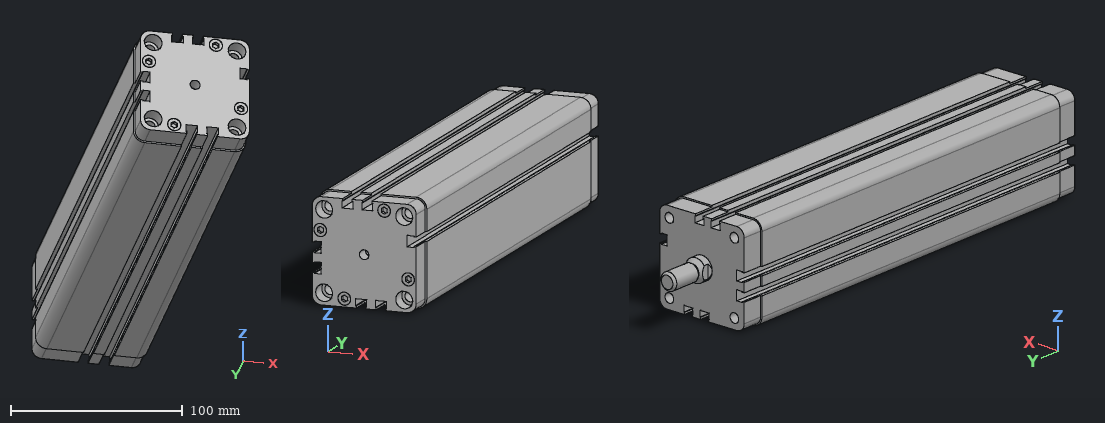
import cadquery as cq
import math

length = 327.0
rear_y = -length / 2
rod_tip_y = length / 2
rod_reach = 31.0
cap_length = 14.7
front_y = rod_tip_y - rod_reach

barrel_side = 67.0
cap_side = 65.0
corner_centre = 26.8

slot_places = (-10.5, 2.0)
slot_mouth = 6.0
slot_undercut = 7.0
slot_floor = 26.8
slot_lip = 31.0

mount_spacing = 50.0
mount_offset = mount_spacing / 2
mount_diameter = 6.5
counterbore_diameter = 10.5
counterbore_depth = 9.8
port_diameter = 6.0
port_depth = 9.8

screw_offset = 12.5
screw_reach = 27.5
screw_diameter = 8.0
screw_recess = 0.3
socket_corners = 4.3
socket_depth = 2.5

rod_diameter = 16.0
thread_diameter = 12.0
thread_length = 21.0
thread_chamfer = 1.5
neck_diameter = 10.0
neck_length = 1.5
flat_width = 13.0
flat_clearance = 2.3


def plane_at(y):
    """XZ sketch plane at y, with local x = X, local y = Z and normal -Y."""
    return cq.Workplane("XZ", origin=(0, y, 0))


def rounded_square(side, y_start, y_end):
    """Square bar with rounded long edges between two places along Y."""
    radius = side / 2 - corner_centre
    bar = plane_at(y_end).rect(side, side).extrude(y_end - y_start)
    return bar.edges("|Y").fillet(radius)


def t_slot(place):
    """Full-length T-slot cutter for the +Z side, centred at x = place."""
    top = barrel_side / 2
    mouth = plane_at(front_y).center(place, (slot_floor + top) / 2)
    mouth = mouth.rect(slot_mouth, top - slot_floor).extrude(front_y - rear_y)
    undercut = plane_at(front_y).center(place, (slot_floor + slot_lip) / 2)
    undercut = undercut.rect(slot_undercut, slot_lip - slot_floor).extrude(front_y - rear_y)
    return mouth.union(undercut)


def turned_about_axis(shape, quarter_turns):
    """Turn a shape about the Y axis, from +Z towards -X."""
    return shape.rotate((0, 0, 0), (0, 1, 0), -90 * quarter_turns)


def rear_hole(points, diameter, depth):
    """Cutters for round holes sunk from the rear face."""
    return plane_at(rear_y).pushPoints(points).circle(diameter / 2).extrude(-depth)


def piston_rod():
    """Threaded rod end with a neck, a 45 degree shoulder and two wrench flats."""
    thread_radius = thread_diameter / 2
    neck_radius = neck_diameter / 2
    rod_radius = rod_diameter / 2
    thread_end = rod_tip_y - thread_length
    neck_end = thread_end - neck_length
    shoulder_height = rod_radius - neck_radius

    profile = [
        (0, front_y),
        (rod_radius, front_y),
        (rod_radius, neck_end - shoulder_height),
        (neck_radius, neck_end),
        (neck_radius, thread_end),
        (thread_radius, thread_end),
        (thread_radius, rod_tip_y - thread_chamfer),
        (thread_radius - thread_chamfer, rod_tip_y),
        (0, rod_tip_y),
    ]
    rod = cq.Workplane("XY").polyline(profile).close().revolve(360, (0, 0, 0), (0, 1, 0))

    flat_x = flat_width / 2
    flat_profile = [
        (flat_x, thread_end),
        (flat_x, front_y + flat_clearance),
        (rod_radius, front_y),
        (rod_radius, thread_end),
    ]
    flat = cq.Workplane("XY").polyline(flat_profile).close().extrude(rod_radius, both=True)
    return rod.cut(flat).cut(flat.mirror("YZ"))


body = rounded_square(cap_side, rear_y, front_y)
body = body.union(rounded_square(barrel_side, rear_y + cap_length, front_y - cap_length))

for side in range(4):
    places = slot_places[:1] if side == 3 else slot_places
    for place in places:
        body = body.cut(turned_about_axis(t_slot(place), side))

corners = [(x, z) for x in (-mount_offset, mount_offset) for z in (-mount_offset, mount_offset)]
body = body.cut(rear_hole(corners, mount_diameter, front_y - rear_y))
body = body.cut(rear_hole(corners, counterbore_diameter, counterbore_depth))
body = body.cut(rear_hole([(0, 0)], port_diameter, port_depth))

screws = [
    (screw_offset, screw_reach),
    (-screw_reach, screw_offset),
    (-screw_offset, -screw_reach),
    (screw_reach, -screw_offset),
]
body = body.cut(rear_hole(screws, screw_diameter, screw_recess))
socket_radius = socket_corners / 2
corner_angles = [math.radians(60 * i) for i in range(6)]
hexagon = [(socket_radius * math.sin(angle), socket_radius * math.cos(angle)) for angle in corner_angles]
for x, z in screws:
    socket = plane_at(rear_y).center(x, z).polyline(hexagon).close()
    body = body.cut(socket.extrude(-(screw_recess + socket_depth)))

result = body.union(piston_rod())